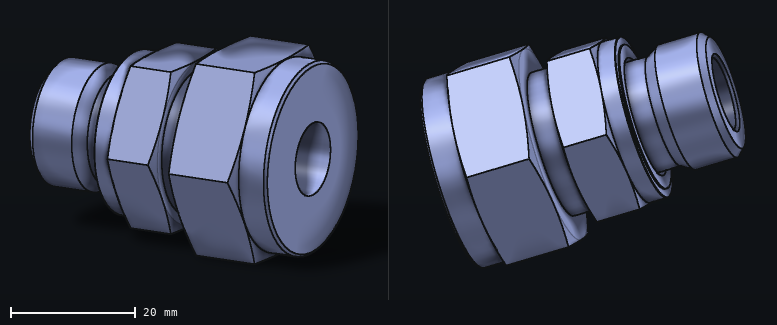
import cadquery as cq
import math

stud_thread_end = 8.3
neck_start = 10.4
seal_face = 13.7
flange_face = 13.95
seal_seat = 15.35
body_hex_start = 16.95
body_hex_end = 25.45
nut_hex_start = 29.55
nut_hex_end = 41.52
total_length = 46.5

stud_radius = 10.5
neck_radius = 9.2
seal_outer_radius = 12.05
flange_radius = 13.5
waist_radius = 12.0
collar_radius = 15.9
bore_radius = 6.0

body_hex_flats = 27.05
nut_hex_flats = 32.0
hex_sides = 6
hex_chamfer_angle = 15.0

stud_chamfer = 1.15
flange_chamfer = 0.1
collar_chamfer = 0.45
bore_chamfer = 0.5
seal_bevel = 0.65


def cylinder(start, end, radius):
    """Solid cylinder on the X axis between two stations."""
    return cq.Workplane("YZ").workplane(offset=start).circle(radius).extrude(end - start)


def revolved(profile):
    """Revolve a closed (x, radius) profile about the X axis."""
    return cq.Workplane("XY").polyline(profile).close().revolve(360, (0, 0, 0), (1, 0, 0))


def chamfered_hex(start, end, flats):
    """Hexagonal prism along X whose corners are turned down by a cone at both ends."""
    flat_radius = flats / 2
    corner_radius = flat_radius / math.cos(math.pi / hex_sides)
    chamfer_length = (corner_radius - flat_radius) * math.tan(math.radians(hex_chamfer_angle))
    end_plane = cq.Workplane("YZ").workplane(offset=start)
    prism = end_plane.polygon(hex_sides, 2 * corner_radius).extrude(end - start)
    turned_blank = revolved([
        (start, 0),
        (start, flat_radius),
        (start + chamfer_length, corner_radius),
        (end - chamfer_length, corner_radius),
        (end, flat_radius),
        (end, 0),
    ])
    return prism.intersect(turned_blank)


def make_stud_and_flange():
    """Chamfered stud, tapered down to a neck, and the round flange behind it."""
    return revolved([
        (0, 0),
        (0, stud_radius - stud_chamfer),
        (stud_chamfer, stud_radius),
        (stud_thread_end, stud_radius),
        (neck_start, neck_radius),
        (flange_face, neck_radius),
        (flange_face, flange_radius - flange_chamfer),
        (flange_face + flange_chamfer, flange_radius),
        (body_hex_start, flange_radius),
        (body_hex_start, 0),
    ])


def make_seal_groove():
    """Ring-shaped cut in the flange face, from the neck out to the seal's outer wall."""
    groove = cylinder(flange_face, seal_seat, seal_outer_radius)
    return groove.cut(cylinder(flange_face, seal_seat, neck_radius))


def make_bore():
    """Through bore with a chamfered mouth at the stud end."""
    mouth = revolved([
        (0, 0),
        (0, bore_radius + bore_chamfer),
        (bore_chamfer, bore_radius),
        (bore_chamfer, 0),
    ])
    return cylinder(0, total_length, bore_radius).union(mouth)


def make_collar():
    """Round collar behind the nut hexagon, with its end edge chamfered."""
    collar = cylinder(nut_hex_end, total_length, collar_radius)
    return collar.faces(">X").edges().chamfer(collar_chamfer)


def make_fitting():
    """Screw-in fitting: stud, grooved flange, two hexagons joined by a round waist, and end collar."""
    solid = make_stud_and_flange()
    solid = solid.union(chamfered_hex(body_hex_start, body_hex_end, body_hex_flats))
    solid = solid.union(cylinder(body_hex_end, nut_hex_start, waist_radius))
    solid = solid.union(chamfered_hex(nut_hex_start, nut_hex_end, nut_hex_flats))
    solid = solid.union(make_collar())
    return solid.cut(make_seal_groove()).cut(make_bore())


def make_seal():
    """Seal ring bedded in the flange groove, standing slightly proud, bevelled around the neck."""
    return revolved([
        (seal_face, neck_radius + seal_bevel),
        (seal_face, seal_outer_radius),
        (seal_seat, seal_outer_radius),
        (seal_seat, neck_radius),
        (seal_face + seal_bevel, neck_radius),
    ])


fitting = make_fitting()
seal = make_seal()

result = cq.Compound.makeCompound([fitting.val(), seal.val()])